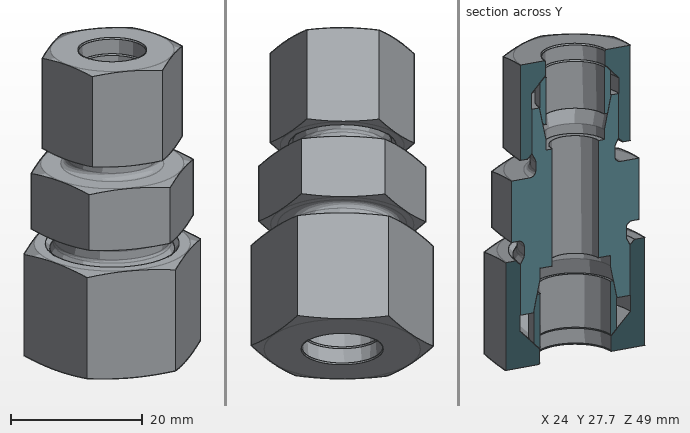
import cadquery as cq
import math


total_length = 49.0
small_nut_length = 15.5
large_nut_length = 17.5
hexagon_length = 10.0
nut_gap = (total_length - small_nut_length - large_nut_length - hexagon_length) / 2
hex_bottom = large_nut_length + nut_gap
hex_top = hex_bottom + hexagon_length

small_nut_flats = 19.0
large_nut_flats = 24.0
body_flats = 22.0
corner_circle_ratio = 0.99
corner_chamfer_angle = 15.0

bore_diameter = 8.0
socket_depth = 7.0
neck_fillet = 1.0
neck_length = 2.35
flare_angle = 30.0
seat_angle = 12.0

bore_clearance = 0.25
hole_chamfer_width = 0.122
hole_chamfer_depth = 0.25
mouth_countersink = 0.7
nut_collar_length = 2.6

ring_nose_length = 2.95
ring_lead_in = 0.25

small_end = {
    "tube": 10.0, "neck": 13.7, "thread": 15.05, "seat": 12.3,
    "spigot_length": 11.02,
}
large_end = {
    "tube": 12.0, "neck": 17.7, "thread": 19.0, "seat": 14.3,
    "spigot_length": 12.0,
}


def tan_deg(angle):
    return math.tan(math.radians(angle))


def revolved(profile):
    """Solid of revolution about Z from a closed outline drawn as (radius, z)."""
    return profile.close().revolve(360, (0, 0, 0), (0, 1, 0))


def cylinder(diameter, z_start, length):
    return cq.Workplane("XY").workplane(offset=z_start).circle(diameter / 2).extrude(length)


def chamfered_hexagon(flats, z_start, length):
    """Hexagonal prism with flats facing +-X and corners cut by a cone at both ends."""
    corner_radius = flats / math.sqrt(3)
    face_radius = corner_circle_ratio * flats / 2
    drop = (corner_radius - face_radius) * tan_deg(corner_chamfer_angle)
    prism = (
        cq.Workplane("XY").workplane(offset=z_start)
        .polygon(6, 2 * corner_radius).extrude(length)
        .rotate((0, 0, 0), (0, 0, 1), 30)
    )
    z_end = z_start + length
    envelope = revolved(
        cq.Workplane("XZ")
        .moveTo(0, z_start)
        .lineTo(face_radius, z_start)
        .lineTo(corner_radius, z_start + drop)
        .lineTo(corner_radius, z_end - drop)
        .lineTo(face_radius, z_end)
        .lineTo(0, z_end)
    )
    return prism.intersect(envelope)


def spigot(end):
    """Threaded spigot: filleted neck, flare and plain thread cylinder."""
    neck_radius = end["neck"] / 2
    thread_radius = end["thread"] / 2
    flare_radius = neck_radius + neck_fillet * (1 - math.cos(math.radians(flare_angle)))
    flare_start = neck_length + neck_fillet * math.sin(math.radians(flare_angle))
    flare_end = flare_start + (thread_radius - flare_radius) / tan_deg(flare_angle)
    return revolved(
        cq.Workplane("XZ")
        .moveTo(0, 0)
        .lineTo(neck_radius + neck_fillet, 0)
        .radiusArc((neck_radius, neck_fillet), neck_fillet)
        .lineTo(neck_radius, neck_length)
        .radiusArc((flare_radius, flare_start), neck_fillet)
        .lineTo(thread_radius, flare_end)
        .lineTo(thread_radius, end["spigot_length"])
        .lineTo(0, end["spigot_length"])
    )


def tube_socket(end):
    """Cutter for the cone seat and the tube socket in the end of a spigot."""
    tube_radius = end["tube"] / 2
    seat_radius = end["seat"] / 2
    top = end["spigot_length"]
    seat_depth = (seat_radius - tube_radius) / tan_deg(seat_angle)
    return revolved(
        cq.Workplane("XZ")
        .moveTo(0, top - socket_depth)
        .lineTo(tube_radius, top - socket_depth)
        .lineTo(tube_radius, top - seat_depth)
        .lineTo(seat_radius, top)
        .lineTo(0, top)
    )


def ring_top(nut_length):
    """Height of the outer end of the ring, where the cone of the nut meets its tube hole."""
    return nut_gap + nut_length - nut_collar_length


def cutting_ring(end, nut_length):
    """Sleeve around the tube, between the cone seat of the body and the cone of the nut."""
    tube_radius = end["tube"] / 2
    seat_radius = end["seat"] / 2
    shoulder_radius = (end["tube"] + bore_clearance) / 2
    mouth_z = end["spigot_length"]
    nose_radius = seat_radius - ring_nose_length * tan_deg(seat_angle)
    top = ring_top(nut_length)
    return revolved(
        cq.Workplane("XZ")
        .moveTo(tube_radius, mouth_z - ring_nose_length)
        .lineTo(nose_radius, mouth_z - ring_nose_length)
        .lineTo(seat_radius, mouth_z)
        .lineTo(seat_radius, top - (seat_radius - shoulder_radius))
        .lineTo(shoulder_radius, top)
        .lineTo(tube_radius, top - ring_lead_in)
    )


def cap_nut(end, nut_length, flats):
    """Hexagonal nut with a countersunk thread bore, a 45 degree ring cone and a tube hole."""
    thread_radius = end["thread"] / 2
    mouth_radius = thread_radius + mouth_countersink
    hole_radius = (end["tube"] + bore_clearance) / 2
    outer_face = nut_gap + nut_length
    cone_top = ring_top(nut_length)
    cavity = revolved(
        cq.Workplane("XZ")
        .moveTo(0, nut_gap)
        .lineTo(mouth_radius, nut_gap)
        .lineTo(thread_radius, nut_gap + mouth_countersink)
        .lineTo(thread_radius, cone_top - (thread_radius - hole_radius))
        .lineTo(hole_radius, cone_top)
        .lineTo(hole_radius, outer_face - hole_chamfer_depth)
        .lineTo(hole_radius + hole_chamfer_width, outer_face)
        .lineTo(0, outer_face)
    )
    return chamfered_hexagon(flats, nut_gap, nut_length).cut(cavity)


def place_upper(part):
    return part.translate((0, 0, hex_top))


def place_lower(part):
    return part.rotate((0, 0, 0), (1, 0, 0), 180).translate((0, 0, hex_bottom))


union_body = (
    chamfered_hexagon(body_flats, hex_bottom, hexagon_length)
    .union(place_upper(spigot(small_end)))
    .union(place_lower(spigot(large_end)))
    .cut(cylinder(bore_diameter, 0, total_length))
    .cut(place_upper(tube_socket(small_end)))
    .cut(place_lower(tube_socket(large_end)))
)
small_nut = place_upper(cap_nut(small_end, small_nut_length, small_nut_flats))
large_nut = place_lower(cap_nut(large_end, large_nut_length, large_nut_flats))
small_ring = place_upper(cutting_ring(small_end, small_nut_length))
large_ring = place_lower(cutting_ring(large_end, large_nut_length))

result = cq.Compound.makeCompound([
    union_body.val(),
    small_nut.val(),
    large_nut.val(),
    small_ring.val(),
    large_ring.val(),
])